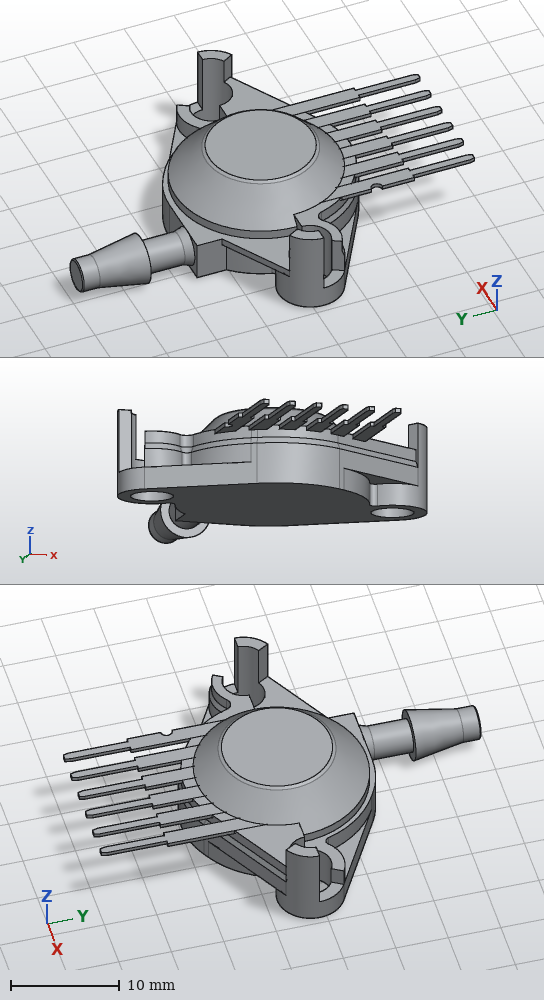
import cadquery as cq
import math

LUG_X = 11.55
LUG_R = 3.17
LUG_HOLE_R = 1.97
POST_TOP = 7.95

FLANK_ANGLE = 30.0
CROWN_Y = 1.15
NECK_R = 0.5

SHELF_TOP = 2.05
BACK_FLANGE_BASE = 3.1
BACK_TOP = 3.8
TAPER_TOP = 4.37
FRONT_TOP = 5.5
TAPER_INSET = 0.25

CAP_R = 5.4
CAP_EDGE_Z = 7.77
CAP_BASE_R = 8.5
CAP_TOP_R = 5.1

PORT_X = -4.05
PORT_Z = 1.97
PORT_R = 1.6
PORT_ROOT_R = 1.85
BARB_R = 2.4
PORT_BLOCK_LEFT = -6.45
PORT_ROOT_END_Y = 9.98
BARB_START_Y = 13.7
BARB_END_Y = 18.45
PORT_TIP_Y = 20.15
PORT_TIP_CHAMFER = 0.1

PIN_COUNT = 6
PIN_SPAN = 12.7
PIN_THICKNESS = 0.4
PIN_WIDTH = 1.47
PIN_TAIL_WIDTH = 0.77
PIN_TIP_WIDTH = 0.5
PIN_INNER_Y = -2.9
PIN_SHOULDER_Y = -12.35
PIN_TAPER_Y = -18.02
PIN_END_Y = -18.53
NOTCH_R = 0.55
NOTCH_Y = -8.6

FLANK = math.radians(FLANK_ANGLE)
FLANK_SIN = math.sin(FLANK)
FLANK_COS = math.cos(FLANK)
BODY_R = LUG_R + LUG_X * FLANK_SIN
CROWN_R = BODY_R - CROWN_Y * FLANK_COS
CROWN_END_Y = CROWN_Y + CROWN_R


def polar(cx, cy, radius, angle):
    """Point at an angle (radians) on a circle."""
    return (cx + radius * math.cos(angle), cy + radius * math.sin(angle))


def half_outline(z, inset=0.0):
    """Front half (y <= 0), seen from above: recessed beside the left lug, full on the right."""
    lug_r = LUG_R - inset
    body_r = BODY_R - inset
    crown_r = CROWN_R - inset
    neck_r = NECK_R + inset

    to_body = body_r + neck_r
    to_lug = lug_r + neck_r
    neck_x = -(to_body**2 - to_lug**2 + LUG_X**2) / (2 * LUG_X)
    neck_y = -math.sqrt(to_body**2 - neck_x**2)
    lug_side = math.atan2(-neck_y, -LUG_X - neck_x)
    body_side = math.atan2(-neck_y, -neck_x)
    lug_end = lug_side - math.pi
    body_start = body_side - math.pi

    left_normal = -math.pi / 2 - FLANK
    right_normal = -math.pi / 2 + FLANK
    lug_mid = (-math.pi + lug_end) / 2
    neck_mid = (lug_side + body_side) / 2
    body_mid = (body_start + left_normal) / 2

    return (
        cq.Workplane("XY", origin=(0, 0, z))
        .moveTo(-LUG_X - lug_r, 0)
        .threePointArc(polar(-LUG_X, 0, lug_r, lug_mid), polar(-LUG_X, 0, lug_r, lug_end))
        .threePointArc(polar(neck_x, neck_y, neck_r, neck_mid), polar(0, 0, body_r, body_start))
        .threePointArc(polar(0, 0, body_r, body_mid), polar(0, 0, body_r, left_normal))
        .lineTo(*polar(0, -CROWN_Y, crown_r, left_normal))
        .threePointArc((0, -CROWN_Y - crown_r), polar(0, -CROWN_Y, crown_r, right_normal))
        .lineTo(*polar(LUG_X, 0, lug_r, right_normal))
        .threePointArc(polar(LUG_X, 0, lug_r, right_normal / 2), (LUG_X + lug_r, 0))
        .close()
    )


def half_slab(z_low, z_high, inset=0.0):
    """Front half slab with its recess on the left."""
    return half_outline(z_low, inset).extrude(z_high - z_low)


def mirrored(shape):
    """The same shape with left and right swapped."""
    return shape.mirror("YZ")


def turned(shape):
    """The same shape turned half a turn about the Z axis."""
    return shape.rotate((0, 0, 0), (0, 0, 1), 180)


def front_half():
    """Low flange on the left, high flange on the right, walls stepped in near the top."""
    low = mirrored(half_slab(0, SHELF_TOP))
    high = half_slab(SHELF_TOP, BACK_TOP)
    lower_edge = half_outline(BACK_TOP).wires().val()
    upper_edge = half_outline(TAPER_TOP, TAPER_INSET).wires().val()
    taper = cq.Workplane(cq.Solid.makeLoft([lower_edge, upper_edge], True))
    top = half_slab(TAPER_TOP, FRONT_TOP, TAPER_INSET)
    return low.union(high).union(taper).union(top)


def back_half():
    """Low flange on the right and high flange on the left."""
    flange = turned(mirrored(half_slab(0, SHELF_TOP)))
    wall_left = turned(mirrored(half_slab(SHELF_TOP, BACK_FLANGE_BASE)))
    wall_right = turned(half_slab(SHELF_TOP, BACK_FLANGE_BASE))
    high = turned(half_slab(BACK_FLANGE_BASE, BACK_TOP))
    return flange.union(wall_left.intersect(wall_right)).union(high)


def lug_wedge():
    """Front outer wedge at the right lug, from the X axis round to the flank, above the shelf."""
    reach = 2 * LUG_R
    edge = FLANK - math.pi / 2
    return (
        cq.Workplane("XY", origin=(LUG_X, 0, SHELF_TOP))
        .polyline([(0, 0), (reach, 0), (reach, -reach), polar(0, 0, reach, edge)])
        .close()
        .extrude(POST_TOP - SHELF_TOP)
    )


def cut_shelves(housing):
    """Both lugs cut down to shelf height on their outer side, in front and behind."""
    front_right = lug_wedge()
    front_left = mirrored(front_right)
    for wedge in (front_right, front_left, turned(front_right), turned(front_left)):
        housing = housing.cut(wedge)
    return housing


def add_posts(housing):
    """A tall post on the right lug in front and on the left lug behind."""
    disc = cq.Workplane("XY", origin=(LUG_X, 0, SHELF_TOP)).circle(LUG_R).extrude(POST_TOP - SHELF_TOP)
    post = disc.intersect(lug_wedge())
    return housing.union(post).union(turned(post))


def cut_lug_holes(housing):
    holes = (
        cq.Workplane("XY")
        .pushPoints([(-LUG_X, 0), (LUG_X, 0)])
        .circle(LUG_HOLE_R)
        .extrude(POST_TOP)
    )
    return housing.cut(holes)


def cap():
    """45 degree cone on an upright wall, with a bevelled flat top.

    The front half of the housing is taller and hides the foot of the cap on its side.
    """
    profile = [
        (0, SHELF_TOP),
        (CAP_BASE_R, SHELF_TOP),
        (CAP_BASE_R, CAP_EDGE_Z + CAP_R - CAP_BASE_R),
        (CAP_R, CAP_EDGE_Z),
        (CAP_TOP_R, POST_TOP),
        (0, POST_TOP),
    ]
    return cq.Workplane("XZ").polyline(profile).close().revolve(360, (0, 0, 0), (0, 1, 0))


def port_block():
    size = (-PORT_BLOCK_LEFT, CROWN_END_Y, BACK_TOP)
    return cq.Workplane("XY", origin=(PORT_BLOCK_LEFT, 0, 0)).box(*size, centered=False)


def port():
    """Barbed hose nozzle along +Y."""
    profile = [
        (CROWN_END_Y, 0),
        (CROWN_END_Y, PORT_ROOT_R),
        (PORT_ROOT_END_Y, PORT_R),
        (BARB_START_Y, PORT_R),
        (BARB_START_Y, BARB_R),
        (BARB_END_Y, PORT_R),
        (PORT_TIP_Y - PORT_TIP_CHAMFER, PORT_R),
        (PORT_TIP_Y, PORT_R - PORT_TIP_CHAMFER),
        (PORT_TIP_Y, 0),
    ]
    nozzle = cq.Workplane("YZ").polyline(profile).close().revolve(360, (0, 0, 0), (1, 0, 0))
    return nozzle.translate((PORT_X, 0, PORT_Z))


def make_housing():
    housing = front_half().union(back_half())
    housing = add_posts(cut_shelves(housing))
    housing = housing.union(cap()).union(port_block()).union(port())
    return cut_lug_holes(housing)


def make_pin(x):
    """Flat stepped pin, flush with the top of the front half and rooted under the cap."""
    half_width = PIN_WIDTH / 2
    half_tail = PIN_TAIL_WIDTH / 2
    half_tip = PIN_TIP_WIDTH / 2
    right_edge = [
        (half_width, PIN_INNER_Y),
        (half_width, PIN_SHOULDER_Y),
        (half_tail, PIN_SHOULDER_Y),
        (half_tail, PIN_TAPER_Y),
        (half_tip, PIN_END_Y),
    ]
    left_edge = [(-px, py) for px, py in reversed(right_edge)]
    return (
        cq.Workplane("XY", origin=(x, 0, FRONT_TOP - PIN_THICKNESS))
        .polyline(right_edge + left_edge)
        .close()
        .extrude(PIN_THICKNESS)
    )


def cut_index_notch(pin, x):
    """Half-round notch in the left edge of a pin."""
    notch = (
        cq.Workplane("XY", origin=(x - PIN_WIDTH / 2, NOTCH_Y, FRONT_TOP - PIN_THICKNESS))
        .circle(NOTCH_R)
        .extrude(PIN_THICKNESS)
    )
    return pin.cut(notch)


housing = make_housing()
pins = []
for index in range(PIN_COUNT):
    pin_x = PIN_SPAN * (index / (PIN_COUNT - 1) - 0.5)
    pin = make_pin(pin_x)
    housing = housing.cut(pin)
    if index == 0:
        pin = cut_index_notch(pin, pin_x)
    pins.append(pin.val())

result = cq.Compound.makeCompound([housing.val(), *pins])